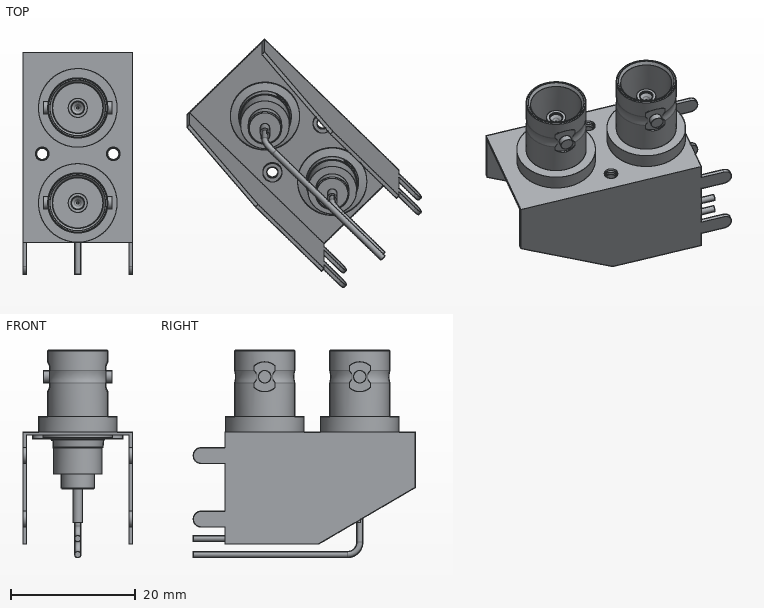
import cadquery as cq
import math


bracket_width = 17.6
bracket_length = 30.5
plate_thickness = 0.5
wall_thickness = 0.6
wall_height = 17.98
rear_wall_height = 8.9
wall_foot_length = 15.0
tab_length = 5.1
tab_width = 2.55
tab_heights = (-3.77, -13.95)

screw_spacing = 11.4
screw_y = 14.25
screw_boss_diameter = 3.05
screw_boss_bottom = -1.1
thread_major_diameter = 2.17
thread_minor_diameter = 1.78
thread_pitch = 0.4

connector_spacing = 15.25
front_connector_y = 6.37
flange_diameter = 12.6
flange_height = 2.45
shell_top = 13.15
shell_diameter = 9.65
rim_chamfer = 0.15
mouth_diameter = 8.9
mouth_depth = 0.5
bore_top_diameter = 8.2
bore_floor_diameter = 8.05

bayonet_height = 8.85
lug_diameter = 2.0
lug_span = 11.0
spot_face_diameter = 4.8
spot_face_span = 9.05
groove_width = 1.95
groove_depth = 0.15

insulator_diameter = 3.05
insulator_top = 9.75
insulator_mouth_diameter = 2.17
insulator_bore_diameter = 2.0
insulator_bevel_depth = 0.1
contact_top = 9.4
contact_funnel_diameter = 1.05
contact_hole_diameter = 0.35
funnel_step = 0.35
contact_hole_bottom = 7.12

washer_diameter = 11.1
washer_bottom = -0.9
collar_top_diameter = 8.47
collar_diameter = 8.33
collar_top = -1.17
collar_bottom = -1.4
flat_offset = 3.95
taper_end_diameter = 8.1
taper_bottom = -2.55
taper_chamfer = 0.15
barrel_diameter = 7.83
barrel_bottom = -6.75
neck_diameter = 5.38
neck_bottom = -9.1
neck_chamfer = 0.18
cup_diameter = 1.53
cup_bottom = -14.52
cup_cut_height = 2.15
cup_cut_offset = 0.1

lead_diameter = 1.0
lead_bend_radius = 2.0
front_lead_z = -17.1
lead_drop = 2.55


def cylinder(diameter, bottom, top):
    return cq.Workplane("XY").workplane(offset=bottom).circle(diameter / 2).extrude(top - bottom)


def revolve_about_z(points):
    return cq.Workplane("XZ").polyline(points).close().revolve(360, (0, 0), (0, 1))


def make_wall():
    wall = (
        cq.Workplane("YZ")
        .polyline([
            (0, 0),
            (bracket_length, 0),
            (bracket_length, -rear_wall_height),
            (wall_foot_length, -wall_height),
            (0, -wall_height),
        ])
        .close()
        .extrude(wall_thickness)
    )
    half = tab_width / 2
    arc_start = half - tab_length
    for z in tab_heights:
        tab = (
            cq.Workplane("YZ")
            .moveTo(wall_thickness, z + half)
            .lineTo(arc_start, z + half)
            .threePointArc((-tab_length, z), (arc_start, z - half))
            .lineTo(wall_thickness, z - half)
            .close()
            .extrude(wall_thickness)
        )
        wall = wall.union(tab)
    return wall


def make_threaded_hole():
    minor = thread_minor_diameter / 2
    major = thread_major_diameter / 2
    chamfer = major - minor
    points = [(0, 0), (major, 0), (minor, -chamfer)]
    groove_top = -chamfer
    while groove_top - thread_pitch > screw_boss_bottom:
        points.append((major, groove_top - thread_pitch / 2))
        points.append((minor, groove_top - thread_pitch))
        groove_top -= thread_pitch
    points += [(minor, screw_boss_bottom), (0, screw_boss_bottom)]
    return revolve_about_z(points)


def make_bracket():
    plate = cq.Workplane("XY").box(
        bracket_width, bracket_length, plate_thickness, centered=(True, False, False)
    ).translate((0, 0, -plate_thickness))
    wall = make_wall()
    bracket = plate.union(wall.translate((-bracket_width / 2, 0, 0)))
    bracket = bracket.union(wall.translate((bracket_width / 2 - wall_thickness, 0, 0)))
    boss = cylinder(screw_boss_diameter, screw_boss_bottom, 0)
    hole = make_threaded_hole()
    for x in (-screw_spacing / 2, screw_spacing / 2):
        bracket = bracket.union(boss.translate((x, screw_y, 0)))
        bracket = bracket.cut(hole.translate((x, screw_y, 0)))
    return bracket


def make_shell():
    shell = cylinder(shell_diameter, 0, shell_top).faces(">Z").chamfer(rim_chamfer)
    shell = shell.union(cylinder(flange_diameter, 0, flange_height))

    outer = shell_diameter / 2
    groove = (
        cq.Workplane("XZ")
        .moveTo(outer, bayonet_height - groove_width / 2)
        .threePointArc((outer - groove_depth, bayonet_height), (outer, bayonet_height + groove_width / 2))
        .lineTo(flange_diameter / 2, bayonet_height + groove_width / 2)
        .lineTo(flange_diameter / 2, bayonet_height - groove_width / 2)
        .close()
        .revolve(360, (0, 0), (0, 1))
    )
    shell = shell.cut(groove)

    flat_depth = (lug_span - spot_face_span) / 2
    for direction in (-1, 1):
        face = cq.Workplane("YZ", origin=(direction * spot_face_span / 2, 0, bayonet_height))
        shell = shell.cut(face.circle(spot_face_diameter / 2).extrude(direction * flat_depth))
    lugs = (
        cq.Workplane("YZ", origin=(-lug_span / 2, 0, bayonet_height))
        .circle(lug_diameter / 2)
        .extrude(lug_span)
    )
    shell = shell.union(lugs)

    bore = revolve_about_z([
        (0, flange_height),
        (bore_floor_diameter / 2, flange_height),
        (bore_top_diameter / 2, shell_top - mouth_depth),
        (mouth_diameter / 2, shell_top),
        (0, shell_top),
    ])
    return shell.cut(bore)


def make_insulator():
    socket = revolve_about_z([
        (0, insulator_top),
        (insulator_mouth_diameter / 2, insulator_top),
        (insulator_bore_diameter / 2, insulator_top - insulator_bevel_depth),
        (insulator_bore_diameter / 2, contact_top),
        (contact_funnel_diameter / 2, contact_top - funnel_step),
        (contact_hole_diameter / 2, contact_top - 2 * funnel_step),
        (contact_hole_diameter / 2, contact_hole_bottom),
        (0, contact_hole_bottom),
    ])
    return cylinder(insulator_diameter, 0, insulator_top).cut(socket)


def make_rear_body():
    collar_radius = collar_diameter / 2
    taper_end_radius = taper_end_diameter / 2
    barrel_radius = barrel_diameter / 2
    neck_radius = neck_diameter / 2
    body = revolve_about_z([
        (0, 0),
        (washer_diameter / 2, 0),
        (washer_diameter / 2, washer_bottom),
        (collar_top_diameter / 2, collar_top),
        (collar_radius, collar_bottom),
        (taper_end_radius, taper_bottom + taper_chamfer),
        (barrel_radius, taper_bottom),
        (barrel_radius, barrel_bottom),
        (neck_radius, barrel_bottom),
        (neck_radius, neck_bottom + neck_chamfer),
        (neck_radius - neck_chamfer, neck_bottom),
        (0, neck_bottom),
    ])
    flat = cq.Workplane("XY").box(
        collar_radius, collar_diameter, collar_bottom - taper_bottom, centered=(False, True, False)
    ).translate((-flat_offset - collar_radius, 0, taper_bottom))
    return body.cut(flat)


def make_solder_cup():
    cup = cylinder(cup_diameter, cup_bottom, neck_bottom)
    opening = cq.Workplane("XY").box(
        cup_diameter, cup_diameter, cup_cut_height, centered=(True, False, False)
    ).translate((0, cup_cut_offset, cup_bottom))
    return cup.cut(opening)


def make_lead(connector_y, lead_z):
    bend_offset = lead_bend_radius * (1 - math.sqrt(0.5))
    path = (
        cq.Workplane("YZ")
        .moveTo(connector_y, neck_bottom)
        .lineTo(connector_y, lead_z + lead_bend_radius)
        .threePointArc(
            (connector_y - bend_offset, lead_z + bend_offset),
            (connector_y - lead_bend_radius, lead_z),
        )
        .lineTo(-tab_length, lead_z)
    )
    section = cq.Workplane("XY", origin=(0, connector_y, neck_bottom)).circle(lead_diameter / 2)
    return section.sweep(path)


connector = make_shell().union(make_insulator()).union(make_rear_body()).union(make_solder_cup())

result = make_bracket()
for index in range(2):
    connector_y = front_connector_y + index * connector_spacing
    lead_z = front_lead_z - index * lead_drop
    result = result.union(connector.translate((0, connector_y, 0)))
    result = result.union(make_lead(connector_y, lead_z))